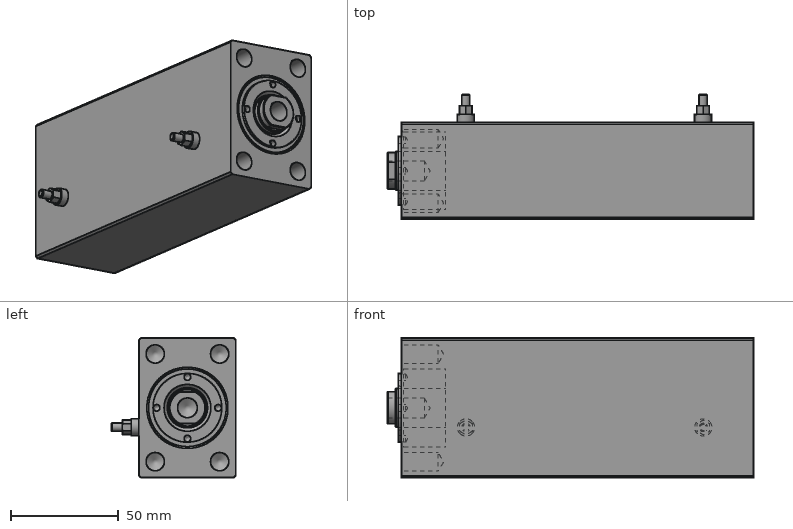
import cadquery as cq
import math


TOTAL_LENGTH = 170.0
TOTAL_WIDTH = 58.0
ROD_PROJECTION = 6.5
DRILL_POINT_ANGLE = 118.0

HOUSING_LENGTH = TOTAL_LENGTH - ROD_PROJECTION
HOUSING_WIDTH = 45.0
HOUSING_HEIGHT = 65.0
EDGE_CHAMFER = 1.0
MOUNT_HOLE_DIAMETER = 8.5
MOUNT_HOLE_DEPTH = 17.0
MOUNT_HOLE_SPACING_Y = 30.0
MOUNT_HOLE_SPACING_Z = 50.0

GLAND_DIAMETER = 36.0
GLAND_DEPTH = 20.4
SEAT_CHAMFER = 0.8
BOSS_DIAMETER = 32.0
BOSS_PROJECTION = 1.5
WIPER_RECESS_DIAMETER = 21.8
WIPER_RECESS_FLOOR_DIAMETER = 18.7
WIPER_RECESS_DEPTH = 1.5
SPANNER_HOLE_DIAMETER = 3.0
SPANNER_HOLE_DEPTH = 3.4
SPANNER_HOLE_CIRCLE = 28.5
SPANNER_HOLE_COUNT = 4

ROD_DIAMETER = 18.0
ROD_TIP_DIAMETER = 17.0
ROD_TIP_LENGTH = 3.5
ROD_SHOULDER_CHAMFER = 0.5
ROD_TIP_CHAMFER = 0.3
ROD_FLATS_WIDTH = 15.0
ROD_HOLE_DIAMETER = 9.2
ROD_HOLE_DEPTH = 17.0

FITTING_X = (30.0, 140.0)
FITTING_Z = -9.0
FITTING_HEIGHT = TOTAL_WIDTH - HOUSING_WIDTH
COLLAR_DIAMETER = 8.0
COLLAR_HEIGHT = 3.5
HEX_ACROSS_FLATS = 6.0
HEX_HEIGHT = 4.0
HEX_CORNER_CHAMFER = 0.2
STEM_DIAMETER = 3.9
STEM_CHAMFER = 0.5


def x_cylinder(diameter, x_start, x_end):
    """Solid cylinder on the X axis."""
    return cq.Workplane("YZ", origin=(x_start, 0, 0)).circle(diameter / 2).extrude(x_end - x_start)


def x_cone(diameter_start, diameter_end, x_start, x_end):
    """Solid frustum on the X axis."""
    profile = [(x_start, 0), (x_start, diameter_start / 2), (x_end, diameter_end / 2), (x_end, 0)]
    return cq.Workplane("XY").polyline(profile).close().revolve(360, (0, 0, 0), (1, 0, 0))


def drilled_hole(diameter, depth, x, y, z):
    """Cutter for a blind hole along +X with a conical drill point."""
    radius = diameter / 2
    point_length = radius / math.tan(math.radians(DRILL_POINT_ANGLE / 2))
    profile = [(0, 0), (0, radius), (depth, radius), (depth + point_length, 0)]
    cutter = cq.Workplane("XY").polyline(profile).close().revolve(360, (0, 0, 0), (1, 0, 0))
    return cutter.translate((x, y, z))


def make_housing():
    """Block with chamfered long edges, a gland seat and four mounting holes."""
    block = cq.Workplane("XY").box(
        HOUSING_LENGTH, HOUSING_WIDTH, HOUSING_HEIGHT, centered=(False, True, True)
    )
    block = block.edges("|X").chamfer(EDGE_CHAMFER)
    block = block.cut(x_cylinder(GLAND_DIAMETER, 0, GLAND_DEPTH))
    block = block.cut(x_cone(GLAND_DIAMETER + 2 * SEAT_CHAMFER, GLAND_DIAMETER, 0, SEAT_CHAMFER))
    for side_y in (-1, 1):
        for side_z in (-1, 1):
            y = side_y * MOUNT_HOLE_SPACING_Y / 2
            z = side_z * MOUNT_HOLE_SPACING_Z / 2
            block = block.cut(drilled_hole(MOUNT_HOLE_DIAMETER, MOUNT_HOLE_DEPTH, 0, y, z))
    return block


def make_gland():
    """Bush with a raised boss, a tapered wiper recess and spanner holes around the rod."""
    recess_floor = WIPER_RECESS_DEPTH - BOSS_PROJECTION
    recess = x_cone(
        WIPER_RECESS_DIAMETER, WIPER_RECESS_FLOOR_DIAMETER, -BOSS_PROJECTION, recess_floor
    )
    gland = x_cylinder(GLAND_DIAMETER, 0, GLAND_DEPTH)
    gland = gland.union(x_cylinder(BOSS_DIAMETER, -BOSS_PROJECTION, 0))
    gland = gland.cut(x_cylinder(ROD_DIAMETER, -BOSS_PROJECTION, GLAND_DEPTH))
    gland = gland.cut(recess)
    for index in range(SPANNER_HOLE_COUNT):
        angle = 2 * math.pi * index / SPANNER_HOLE_COUNT
        y = SPANNER_HOLE_CIRCLE / 2 * math.cos(angle)
        z = SPANNER_HOLE_CIRCLE / 2 * math.sin(angle)
        hole = drilled_hole(SPANNER_HOLE_DIAMETER, SPANNER_HOLE_DEPTH, -BOSS_PROJECTION, y, z)
        gland = gland.cut(hole)
    return gland


def make_rod():
    """Piston rod with a reduced, flatted tip and a blind axial hole."""
    tip_x = -ROD_PROJECTION
    shoulder_x = tip_x + ROD_TIP_LENGTH
    shank = x_cylinder(ROD_DIAMETER, shoulder_x, GLAND_DEPTH)
    shank = shank.faces("<X").chamfer(ROD_SHOULDER_CHAMFER)
    tip = x_cylinder(ROD_TIP_DIAMETER, tip_x, shoulder_x)
    between_flats = cq.Workplane("XY", origin=(tip_x, 0, 0)).box(
        ROD_TIP_LENGTH, ROD_TIP_DIAMETER, ROD_FLATS_WIDTH, centered=(False, True, True)
    )
    tip = tip.intersect(between_flats).faces("<X").chamfer(ROD_TIP_CHAMFER)
    rod = shank.union(tip)
    return rod.cut(drilled_hole(ROD_HOLE_DIAMETER, ROD_HOLE_DEPTH, tip_x, 0, 0))


def make_fitting(x):
    """Collar, hexagon and stem stacked along +Y on the housing side."""
    stem_height = FITTING_HEIGHT - COLLAR_HEIGHT - HEX_HEIGHT
    hex_corner_diameter = HEX_ACROSS_FLATS / math.cos(math.pi / 6)
    base = cq.Workplane("XZ").circle(COLLAR_DIAMETER / 2).extrude(-COLLAR_HEIGHT)
    hexagon = cq.Workplane("XZ", origin=(0, COLLAR_HEIGHT, 0)).transformed(rotate=(0, 0, 90))
    hexagon = hexagon.polygon(6, hex_corner_diameter).extrude(-HEX_HEIGHT)
    hex_envelope = cq.Workplane("XZ", origin=(0, COLLAR_HEIGHT, 0)).circle(hex_corner_diameter / 2)
    hex_envelope = hex_envelope.extrude(-HEX_HEIGHT).faces(">Y").chamfer(HEX_CORNER_CHAMFER)
    hexagon = hexagon.intersect(hex_envelope)
    stem = cq.Workplane("XZ", origin=(0, COLLAR_HEIGHT + HEX_HEIGHT, 0))
    stem = stem.circle(STEM_DIAMETER / 2).extrude(-stem_height)
    stem = stem.faces(">Y").chamfer(STEM_CHAMFER)
    fitting = base.union(hexagon).union(stem)
    return fitting.translate((x, HOUSING_WIDTH / 2, FITTING_Z))


housing = make_housing()
gland = make_gland()
rod = make_rod()
fittings = [make_fitting(x) for x in FITTING_X]

result = cq.Compound.makeCompound(
    [housing.val(), gland.val(), rod.val(), *[fitting.val() for fitting in fittings]]
)